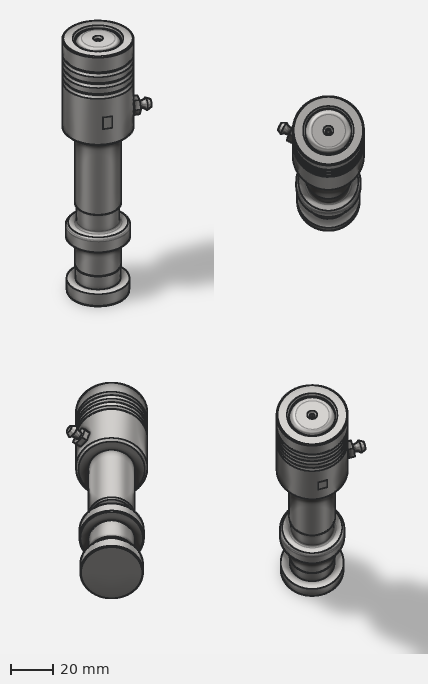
import cadquery as cq
import math

TOTAL_HEIGHT = 140.0

BUSH_RADIUS = 34.0 / 2
BUSH_LENGTH = 50.0
BUSH_TOP_CHAMFER = 0.5
BUSH_BOTTOM_CHAMFER = 1.3
BORE_MOUTH_CHAMFER = 1.0
GROOVE_COUNT = 3
GROOVE_FIRST_DROP = 10.0
GROOVE_PITCH = 6.0
GROOVE_DEPTH = 1.3
GROOVE_FLOOR = 0.3
PAD_WIDTH = 4.5
PAD_LENGTH = 6.5
PAD_HEIGHT = 103.0

PILLAR_RADIUS = 11.0
PILLAR_TOP_ROUND = 3.1
WAIST_RADIUS = 10.2
SHANK_END = 48.9
WAIST_TOP = 48.0
WAIST_ROUND = 1.0
COLLAR_RADIUS = 15.4
COLLAR_TOP = 38.2
COLLAR_BOTTOM = 30.1
COLLAR_TOP_CHAMFER = 0.8
COLLAR_SHOULDER_ROUND = 1.1
COLLAR_BOTTOM_CHAMFER = 0.5
SPIGOT_TOP = 28.8
SPIGOT_CHAMFER = 0.7
CENTRE_MOUTH_RADIUS = 2.4
CENTRE_HOLE_RADIUS = 1.3
CENTRE_SINK_ANGLE = 90.0
CENTRE_HOLE_DEPTH = 4.2
CENTRE_TIP_ANGLE = 120.0

FOOT_NECK_RADIUS = 21.4 / 2
FOOT_HEIGHT = 14.3
FOOT_FLANGE_RADIUS = 15.0
FOOT_FLANGE_HEIGHT = 7.1
FOOT_CHAMFER_HEIGHT = 0.7
FOOT_CHAMFER_WIDTH = 0.4

NIPPLE_HEIGHT = 100.0
HEX_ACROSS_FLATS = 8.0
HEX_LENGTH = 3.0
NIPPLE_SPAN = 43.0
NIPPLE_TIP = NIPPLE_SPAN - BUSH_RADIUS
NIPPLE_TIP_RADIUS = 2.0
NIPPLE_HEAD_RADIUS = 3.1
NIPPLE_HEAD_LENGTH = 2.2
NIPPLE_NECK_RADIUS = 3.8 / 2
NIPPLE_NECK_LENGTH = 1.1
NIPPLE_THREAD_DIAMETER = 5.9

BUSH_BOTTOM = TOTAL_HEIGHT - BUSH_LENGTH


def turned(profile):
    """Revolve a closed XZ profile about the Z axis."""
    return profile.close().revolve(360, (0, 0, 0), (0, 1, 0))


def bush_groove(height):
    """Ring with 45 degree sides that cuts one groove around the bush."""
    half_floor = GROOVE_FLOOR / 2
    half_mouth = half_floor + GROOVE_DEPTH
    floor_radius = BUSH_RADIUS - GROOVE_DEPTH
    return turned(
        cq.Workplane("XZ")
        .moveTo(BUSH_RADIUS, height - half_mouth)
        .lineTo(BUSH_RADIUS, height + half_mouth)
        .lineTo(floor_radius, height + half_floor)
        .lineTo(floor_radius, height - half_floor)
    )


def side_pad():
    """Block from the bore to the tangent plane; only its flat outer face stands clear of the bush."""
    return (
        cq.Workplane("YZ", origin=(PILLAR_RADIUS, 0, PAD_HEIGHT))
        .rect(PAD_WIDTH, PAD_LENGTH)
        .extrude(BUSH_RADIUS - PILLAR_RADIUS)
    )


def bore_cylinder():
    """Cylinder that fills the bush bore, which is also the pillar's full diameter."""
    return cq.Workplane("XY").circle(PILLAR_RADIUS).extrude(TOTAL_HEIGHT)


def nipple_rod():
    """Round rod along +Y from the axis to the bush's outer tangent plane, as thick as the thread."""
    return (
        cq.Workplane("XZ", origin=(0, BUSH_RADIUS, NIPPLE_HEIGHT))
        .circle(NIPPLE_THREAD_DIAMETER / 2)
        .extrude(BUSH_RADIUS)
    )


def make_bush():
    """Grooved bush with a plain bore, a side pad and a hole for the nipple's thread."""
    bush = turned(
        cq.Workplane("XZ")
        .moveTo(PILLAR_RADIUS, BUSH_BOTTOM)
        .lineTo(BUSH_RADIUS - BUSH_BOTTOM_CHAMFER, BUSH_BOTTOM)
        .lineTo(BUSH_RADIUS, BUSH_BOTTOM + BUSH_BOTTOM_CHAMFER)
        .lineTo(BUSH_RADIUS, TOTAL_HEIGHT - BUSH_TOP_CHAMFER)
        .lineTo(BUSH_RADIUS - BUSH_TOP_CHAMFER, TOTAL_HEIGHT)
        .lineTo(PILLAR_RADIUS + BORE_MOUTH_CHAMFER, TOTAL_HEIGHT)
        .lineTo(PILLAR_RADIUS, TOTAL_HEIGHT - BORE_MOUTH_CHAMFER)
    )
    for index in range(GROOVE_COUNT):
        bush = bush.cut(bush_groove(TOTAL_HEIGHT - GROOVE_FIRST_DROP - index * GROOVE_PITCH))
    return bush.union(side_pad()).cut(nipple_rod())


def centre_hole():
    """Countersunk centre hole with a conical bottom, opening at the top of the pillar."""
    sink_depth = (CENTRE_MOUTH_RADIUS - CENTRE_HOLE_RADIUS) / math.tan(math.radians(CENTRE_SINK_ANGLE / 2))
    tip_depth = CENTRE_HOLE_RADIUS / math.tan(math.radians(CENTRE_TIP_ANGLE / 2))
    hole_bottom = TOTAL_HEIGHT - CENTRE_HOLE_DEPTH
    return turned(
        cq.Workplane("XZ")
        .moveTo(0, TOTAL_HEIGHT)
        .lineTo(CENTRE_MOUTH_RADIUS, TOTAL_HEIGHT)
        .lineTo(CENTRE_HOLE_RADIUS, TOTAL_HEIGHT - sink_depth)
        .lineTo(CENTRE_HOLE_RADIUS, hole_bottom)
        .lineTo(0, hole_bottom - tip_depth)
    )


def make_pillar():
    """Round pillar: spigot, collar, waist and full-diameter shank, with a centre hole on top."""
    spigot_step = PILLAR_RADIUS - WAIST_RADIUS
    shoulder_rise = COLLAR_SHOULDER_ROUND * math.sin(math.radians(45))
    shoulder_inset = COLLAR_SHOULDER_ROUND - shoulder_rise
    shoulder_radius = COLLAR_RADIUS - shoulder_inset
    chamfer_end = COLLAR_TOP - COLLAR_TOP_CHAMFER
    pillar = turned(
        cq.Workplane("XZ")
        .moveTo(0, FOOT_HEIGHT)
        .lineTo(PILLAR_RADIUS - SPIGOT_CHAMFER, FOOT_HEIGHT)
        .lineTo(PILLAR_RADIUS, FOOT_HEIGHT + SPIGOT_CHAMFER)
        .lineTo(PILLAR_RADIUS, SPIGOT_TOP)
        .lineTo(WAIST_RADIUS, SPIGOT_TOP + spigot_step)
        .lineTo(WAIST_RADIUS, COLLAR_BOTTOM)
        .lineTo(COLLAR_RADIUS - COLLAR_BOTTOM_CHAMFER, COLLAR_BOTTOM)
        .lineTo(COLLAR_RADIUS, COLLAR_BOTTOM + COLLAR_BOTTOM_CHAMFER)
        .lineTo(COLLAR_RADIUS, chamfer_end - shoulder_rise)
        .tangentArcPoint((shoulder_radius, chamfer_end), relative=False)
        .lineTo(shoulder_radius - COLLAR_TOP_CHAMFER, COLLAR_TOP)
        .lineTo(WAIST_RADIUS + WAIST_ROUND, COLLAR_TOP)
        .tangentArcPoint((WAIST_RADIUS, COLLAR_TOP + WAIST_ROUND), relative=False)
        .lineTo(WAIST_RADIUS, WAIST_TOP)
        .lineTo(PILLAR_RADIUS, SHANK_END)
        .lineTo(PILLAR_RADIUS, TOTAL_HEIGHT - PILLAR_TOP_ROUND)
        .tangentArcPoint((PILLAR_RADIUS - PILLAR_TOP_ROUND, TOTAL_HEIGHT), relative=False)
        .lineTo(0, TOTAL_HEIGHT)
    )
    return pillar.cut(centre_hole())


def make_foot():
    """Flanged foot whose neck butts against the lower end of the pillar."""
    return turned(
        cq.Workplane("XZ")
        .lineTo(FOOT_FLANGE_RADIUS - FOOT_CHAMFER_WIDTH, 0)
        .lineTo(FOOT_FLANGE_RADIUS, FOOT_CHAMFER_HEIGHT)
        .lineTo(FOOT_FLANGE_RADIUS, FOOT_FLANGE_HEIGHT)
        .lineTo(FOOT_NECK_RADIUS, FOOT_FLANGE_HEIGHT)
        .lineTo(FOOT_NECK_RADIUS, FOOT_HEIGHT)
        .lineTo(0, FOOT_HEIGHT)
    )


def make_nipple():
    """Hexagon seated against the bush, with a grease head outside and a thread in the wall."""
    hex_end = BUSH_RADIUS + HEX_LENGTH
    hex_diameter = HEX_ACROSS_FLATS / math.cos(math.pi / 6)
    hexagon = (
        cq.Workplane("XZ", origin=(0, hex_end, NIPPLE_HEIGHT))
        .polygon(6, hex_diameter)
        .extrude(HEX_LENGTH)
    )
    neck_end = hex_end + NIPPLE_NECK_LENGTH
    head_start = NIPPLE_TIP - NIPPLE_HEAD_LENGTH
    head = (
        cq.Workplane("XY", origin=(0, 0, NIPPLE_HEIGHT))
        .moveTo(0, hex_end)
        .lineTo(NIPPLE_NECK_RADIUS, hex_end)
        .lineTo(NIPPLE_NECK_RADIUS, neck_end)
        .tangentArcPoint((NIPPLE_HEAD_RADIUS, head_start), relative=False)
        .lineTo(NIPPLE_TIP_RADIUS, NIPPLE_TIP)
        .lineTo(0, NIPPLE_TIP)
        .close()
        .revolve(360, (0, 0, 0), (0, 1, 0))
    )
    thread = nipple_rod().cut(bore_cylinder())
    return hexagon.union(head).union(thread)


bush = make_bush()
pillar = make_pillar()
foot = make_foot()
nipple = make_nipple()

bodies = [bush, pillar, foot, nipple]
result = cq.Compound.makeCompound([body.solids().val() for body in bodies])